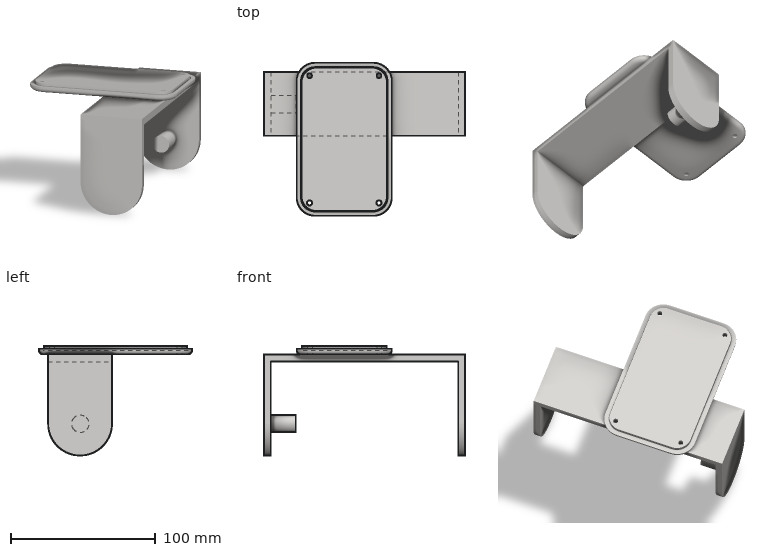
import cadquery as cq

BRACKET_LENGTH = 139.0
BRACKET_WIDTH = 44.4
BRACKET_HEIGHT = 70.0
LEG_THICKNESS = 4.8
BRIDGE_THICKNESS = 5.0

PIN_DIAMETER = 12.0
PIN_LENGTH = 17.2

TRAY_SIZE_X = 66.0
TRAY_SIZE_Y = 106.0
TRAY_HEIGHT = 4.0
TRAY_CORNER_RADIUS = 13.0
TRAY_BOTTOM_FILLET = 3.0
TRAY_OFFSET_X = -14.0
TRAY_BACK_OVERHANG = 6.3

RIM_WIDTH = 3.0
RECESS_DEPTH = 1.0
PANEL_GAP = 0.5
PANEL_RISE = 1.87
PANEL_CORNER_RADIUS = 10.0

HOLE_DIAMETER = 3.4
HOLE_INSET = 9.0

leg_end_radius = BRACKET_WIDTH / 2
leg_axis_z = -BRACKET_HEIGHT + leg_end_radius
leg_outer_x = BRACKET_LENGTH / 2
tray_center_y = BRACKET_WIDTH / 2 + TRAY_BACK_OVERHANG - TRAY_SIZE_Y / 2
recess_floor_z = TRAY_HEIGHT - RECESS_DEPTH


def make_leg(start_x):
    """Upright plate with a semicircular lower end, spanning +X from start_x."""
    return (
        cq.Workplane("YZ", origin=(start_x, 0, 0))
        .moveTo(-leg_end_radius, 0)
        .lineTo(-leg_end_radius, leg_axis_z)
        .threePointArc((0, -BRACKET_HEIGHT), (leg_end_radius, leg_axis_z))
        .lineTo(leg_end_radius, 0)
        .close()
        .extrude(LEG_THICKNESS)
    )


def make_bridge():
    """Flat plate spanning the gap between the tops of the two legs."""
    span = BRACKET_LENGTH - 2 * LEG_THICKNESS
    return (
        cq.Workplane("XY", origin=(0, 0, -BRIDGE_THICKNESS))
        .rect(span, BRACKET_WIDTH)
        .extrude(BRIDGE_THICKNESS)
    )


def make_pin():
    """Cylinder concentric with the rounded leg end, pointing inward."""
    inner_face_x = -leg_outer_x + LEG_THICKNESS
    return (
        cq.Workplane("YZ", origin=(inner_face_x, 0, leg_axis_z))
        .circle(PIN_DIAMETER / 2)
        .extrude(PIN_LENGTH)
    )


def rounded_plate(inset, corner_radius, bottom_z, height):
    """Round-cornered plate set in from the tray outline by the given distance."""
    return (
        cq.Workplane("XY", origin=(TRAY_OFFSET_X, tray_center_y, bottom_z))
        .rect(TRAY_SIZE_X - 2 * inset, TRAY_SIZE_Y - 2 * inset)
        .extrude(height)
        .edges("|Z")
        .fillet(corner_radius)
    )


def make_tray():
    """Tray with a rounded bottom edge and a shallow recess inside its rim."""
    body = rounded_plate(0, TRAY_CORNER_RADIUS, 0, TRAY_HEIGHT)
    body = body.faces("<Z").edges().fillet(TRAY_BOTTOM_FILLET)
    recess_radius = TRAY_CORNER_RADIUS - RIM_WIDTH
    recess = rounded_plate(RIM_WIDTH, recess_radius, recess_floor_z, RECESS_DEPTH)
    return body.cut(recess)


def make_panel():
    """Panel standing on the recess floor and rising above the rim."""
    panel_height = RECESS_DEPTH + PANEL_RISE
    return rounded_plate(RIM_WIDTH + PANEL_GAP, PANEL_CORNER_RADIUS, recess_floor_z, panel_height)


def make_holes():
    """Four corner holes through the full height of the tray and panel."""
    return (
        cq.Workplane("XY", origin=(TRAY_OFFSET_X, tray_center_y, 0))
        .rect(TRAY_SIZE_X - 2 * HOLE_INSET, TRAY_SIZE_Y - 2 * HOLE_INSET, forConstruction=True)
        .vertices()
        .circle(HOLE_DIAMETER / 2)
        .extrude(TRAY_HEIGHT + PANEL_RISE)
    )


tray_assembly = make_tray().union(make_panel()).cut(make_holes())

result = (
    make_bridge()
    .union(make_leg(-leg_outer_x))
    .union(make_leg(leg_outer_x - LEG_THICKNESS))
    .union(make_pin())
    .union(tray_assembly)
)